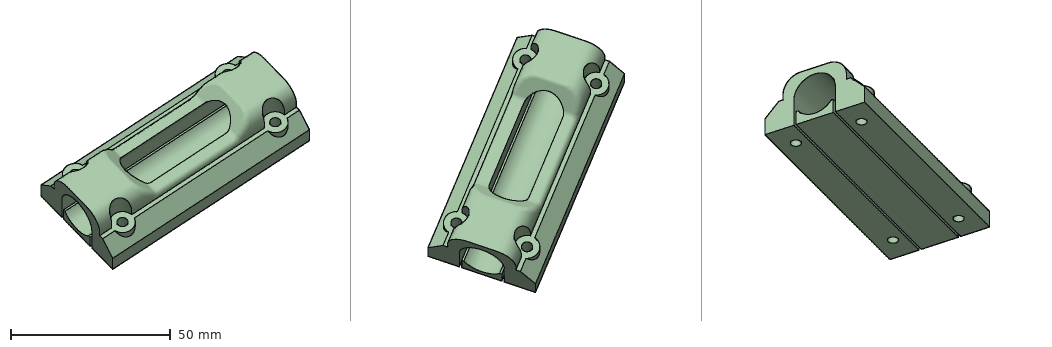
import cadquery as cq
import math

length = 79.0
base_width = 36.0
height = 19.5

side_height = 6.0
ledge_height = 11.05
hood_width = 22.9
hood_radius = 6.5

bore_radius = 7.5
bore_height = 9.5

rail_height = height - hood_radius
window_top_half_length = 22.6
window_slope = 45.0
window_root_radius = 3.0
window_edge_radius = 2.0

boss_radius = 4.0
screw_hole_radius = 1.7
boss_spacing_x = 23.7
boss_end_distance = 8.85
boss_spacing_y = length - 2 * boss_end_distance

cradle_width = 13.4
cradle_height = 5.0


def make_base():
    """Base with 45-degree shoulders, extruded along Y."""
    half_base = base_width / 2
    half_ledge = half_base - (ledge_height - side_height)
    return (
        cq.Workplane("XZ")
        .moveTo(-half_base, 0)
        .lineTo(half_base, 0)
        .lineTo(half_base, side_height)
        .lineTo(half_ledge, ledge_height)
        .lineTo(-half_ledge, ledge_height)
        .lineTo(-half_base, side_height)
        .close()
        .extrude(length / 2, both=True)
    )


def make_hood():
    """Round-cornered hood along Y with the window cut into it."""
    hood = (
        cq.Workplane("XY")
        .box(hood_width, length, height, centered=(True, True, False))
        .edges("|Y and >Z")
        .fillet(hood_radius)
    )
    return round_window_rim(hood.cut(make_window_cutter()))


def make_window_cutter():
    """Trapezoid in YZ whose two lower corners are rounded."""
    slope_run = (height - rail_height) / math.tan(math.radians(window_slope))
    half_bottom = window_top_half_length - slope_run
    return (
        cq.Workplane("YZ")
        .moveTo(-half_bottom, rail_height)
        .lineTo(half_bottom, rail_height)
        .lineTo(window_top_half_length, height)
        .lineTo(-window_top_half_length, height)
        .close()
        .extrude(base_width / 2, both=True)
        .edges("|X and <Z")
        .fillet(window_root_radius)
    )


def round_window_rim(hood):
    """Round the outer edges of the rails, slopes and hood tops, leaving the root seams."""
    half_x = hood_width / 2
    reach = window_top_half_length
    margin = 0.1
    rim = cq.selectors.BoxSelector(
        (-half_x - margin, -reach - margin, rail_height - margin),
        (half_x + margin, reach + margin, height + margin),
        boundingbox=True,
    )
    return hood.edges(rim).edges("(not |X) or >Z").fillet(window_edge_radius)


def make_bore_cutter():
    """Round bore whose full width continues straight down through the base."""
    return (
        cq.Workplane("XZ")
        .moveTo(-bore_radius, 0)
        .lineTo(bore_radius, 0)
        .lineTo(bore_radius, bore_height)
        .threePointArc((0, bore_height + bore_radius), (-bore_radius, bore_height))
        .close()
        .extrude(length / 2, both=True)
    )


def boss_cylinder(radius, bottom, top):
    """Equal vertical cylinders at the four boss positions."""
    return (
        cq.Workplane("XY", origin=(0, 0, bottom))
        .rarray(boss_spacing_x, boss_spacing_y, 2, 2)
        .circle(radius)
        .extrude(top - bottom)
    )


def make_housing():
    body = make_base().union(make_hood())
    body = body.union(boss_cylinder(boss_radius, 0, ledge_height))
    body = body.cut(boss_cylinder(boss_radius, ledge_height, height))
    body = body.cut(boss_cylinder(screw_hole_radius, 0, ledge_height))
    return body.cut(make_bore_cutter())


def make_cradle():
    """Loose strip whose concave top completes the bore."""
    strip = cq.Workplane("XY").box(cradle_width, length, cradle_height, centered=(True, True, False))
    bore = (
        cq.Workplane("XZ")
        .center(0, bore_height)
        .circle(bore_radius)
        .extrude(length / 2, both=True)
    )
    return strip.cut(bore)


housing = make_housing()
cradle = make_cradle()
result = cq.Compound.makeCompound([housing.val(), cradle.val()])